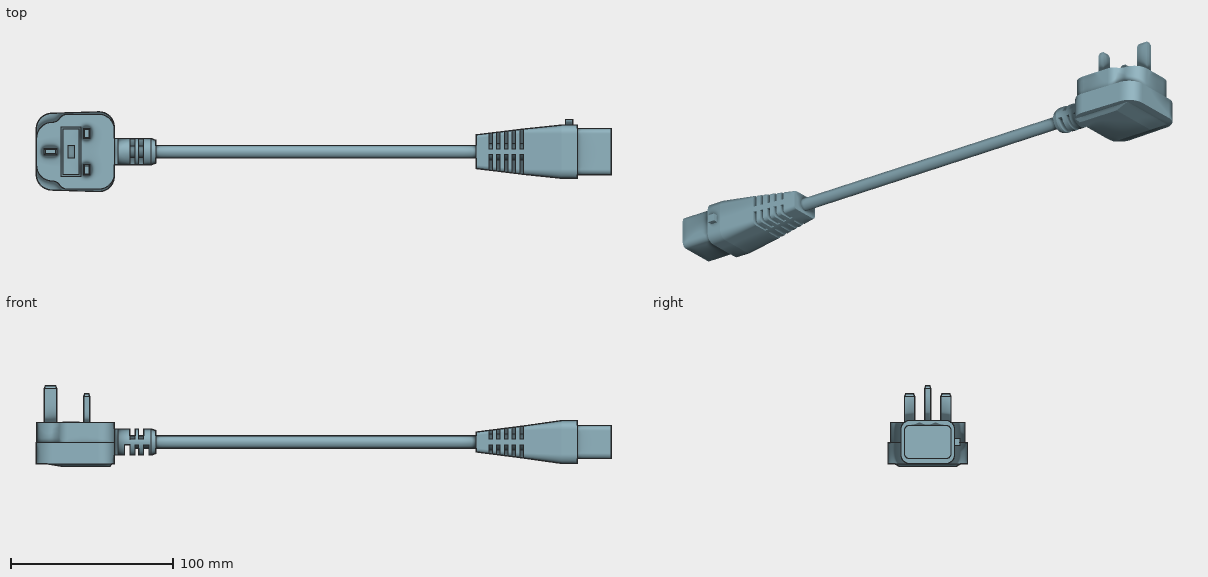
import cadquery as cq
import math


total_length = 354.8

plug_length = 48.2
plug_bottom = -13.5
plug_split = -0.5
plug_top = 12.0
lower_rear_half_width = 23.8
lower_width = 49.3
lower_half_width = lower_width / 2
lower_rear_radius = 10.0
upper_inset = 0.5
upper_half_width = 23.0
upper_nose_half_width = 18.0
upper_nose_radius = 9.5
shoulder_end = 19.0
front_corner_start = 38.5
front_corner_radius = plug_length - front_corner_start

pad_depth = 1.8
pad_start = 6.5
pad_end = 47.0
pad_half_width = 20.2
pad_rear_slope = 10.5
pad_front_slope = 1.5
pad_side_slope = 3.0

carrier_start = 15.3
carrier_end = 27.5
carrier_half_width = 15.3
carrier_groove = 1.25
carrier_groove_depth = 1.0
carrier_rise = 0.5
carrier_pocket_start = 19.5
carrier_pocket_length = 4.3
carrier_pocket_width = 7.8
carrier_pocket_depth = 1.8

earth_x = 9.0
earth_length = 7.8
earth_thickness = 4.0
earth_height = 22.7
line_x = 31.2
line_spacing = 22.5
line_thickness = 4.0
line_width = 6.5
line_height = 17.7
tip_height = 1.8
tip_inset = 0.7

cable_radius = 4.0
relief_radius = 8.0
relief_collar_length = 2.0
relief_end = 73.8
relief_taper_length = 3.0
relief_end_radius = 7.0
web_half = 1.8
slot_edges = [54.5, 58.0, 61.0, 63.0, 66.5, 69.5]
lower_slots = list(zip(slot_edges[0::2], slot_edges[1::2]))
upper_slots = list(zip(slot_edges[1::2], slot_edges[2::2]))
cable_start = slot_edges[1]

grip_start = 271.5
grip_end = 300.5
collar_start = 324.2
collar_end = 333.8
grip_small = (21.0, 12.5, 2.0)
grip_large = (28.0, 20.0, 3.0)
collar_section = (33.0, 26.5, 5.3)
nose_section = (28.7, 20.5, 3.2)
groove_count = 5
groove_width = 2.0
first_groove = 279.2
groove_pitch = (grip_end - groove_width - first_groove) / (groove_count - 1)
grip_core_radius = 5.3
button_start = 326.5
button_size = 4.5
button_tip = 20.0


def block(x0, x1, y0, y1, z0, z1):
    return cq.Workplane("XY").box(x1 - x0, y1 - y0, z1 - z0, centered=False).translate((x0, y0, z0))


def x_cylinder(x0, x1, radius):
    return cq.Workplane("YZ", origin=(x0, 0, 0)).circle(radius).extrude(x1 - x0)


def arc_middle(center_x, center_y, radius, angle):
    """Point on a circle at an angle in degrees, used as the middle of an arc."""
    turn = math.radians(angle)
    return center_x + radius * math.cos(turn), center_y + radius * math.sin(turn)


def front_corner(outline, half_width):
    """Round the cable-side corner and run down to the centre line."""
    corner_y = half_width - front_corner_radius
    middle = arc_middle(front_corner_start, corner_y, front_corner_radius, 45)
    return outline.threePointArc(middle, (plug_length, corner_y)).lineTo(plug_length, 0)


def both_sides(half_outline, height):
    half = half_outline.close().extrude(height)
    return half.union(half.mirror("XZ")).clean()


def lower_half():
    corner_y = lower_rear_half_width - lower_rear_radius
    middle = arc_middle(lower_rear_radius, corner_y, lower_rear_radius, 135)
    outline = (
        cq.Workplane("XY", origin=(0, 0, plug_bottom))
        .lineTo(0, corner_y)
        .threePointArc(middle, (lower_rear_radius, lower_rear_half_width))
        .lineTo(front_corner_start, lower_half_width)
    )
    return both_sides(front_corner(outline, lower_half_width), plug_split - plug_bottom)


def upper_half():
    nose_x = upper_inset + upper_nose_radius
    corner_y = upper_nose_half_width - upper_nose_radius
    middle = arc_middle(nose_x, corner_y, upper_nose_radius, 135)
    shoulder_middle = ((nose_x + shoulder_end) / 2, (upper_nose_half_width + upper_half_width) / 2)
    outline = (
        cq.Workplane("XY", origin=(0, 0, plug_split))
        .moveTo(upper_inset, 0)
        .lineTo(upper_inset, corner_y)
        .threePointArc(middle, (nose_x, upper_nose_half_width))
        .tangentArcPoint(shoulder_middle, relative=False)
        .tangentArcPoint((shoulder_end, upper_half_width), relative=False)
        .lineTo(front_corner_start, upper_half_width)
    )
    return both_sides(front_corner(outline, upper_half_width), plug_top - plug_split)


def bottom_pad():
    """Low pad with sloping sides, shaped by a side profile and an end profile."""
    pad_bottom = plug_bottom - pad_depth
    side = (
        cq.Workplane("XZ", origin=(0, pad_half_width, 0))
        .polyline([
            (pad_start, plug_bottom),
            (pad_start + pad_rear_slope, pad_bottom),
            (pad_end - pad_front_slope, pad_bottom),
            (pad_end, plug_bottom),
        ])
        .close()
        .extrude(2 * pad_half_width)
    )
    bottom_half_width = pad_half_width - pad_side_slope
    end = (
        cq.Workplane("YZ")
        .polyline([
            (-pad_half_width, plug_bottom),
            (-bottom_half_width, pad_bottom),
            (bottom_half_width, pad_bottom),
            (pad_half_width, plug_bottom),
        ])
        .close()
        .extrude(plug_length)
    )
    return side.intersect(end)


def add_fuse_carrier(housing):
    """Groove around the carrier, its slightly raised face and its central pocket."""
    floor = plug_top - carrier_groove_depth
    face = plug_top + carrier_rise
    recess = block(carrier_start, carrier_end, -carrier_half_width, carrier_half_width, floor, plug_top)
    inner_half_width = carrier_half_width - carrier_groove
    carrier = block(
        carrier_start + carrier_groove, carrier_end - carrier_groove,
        -inner_half_width, inner_half_width, floor, face,
    )
    pocket = block(
        carrier_pocket_start, carrier_pocket_start + carrier_pocket_length,
        -carrier_pocket_width / 2, carrier_pocket_width / 2, face - carrier_pocket_depth, face,
    )
    return housing.cut(recess).union(carrier).cut(pocket)


def strain_relief():
    """Square collar and slotted sleeve, with slots alternating above and below the webs."""
    collar = block(
        plug_length, plug_length + relief_collar_length,
        -relief_radius, relief_radius, -relief_radius, relief_radius,
    )
    taper_start = relief_end - relief_taper_length
    sleeve = x_cylinder(plug_length, taper_start, relief_radius)
    taper = (
        cq.Workplane("YZ", origin=(taper_start, 0, 0))
        .circle(relief_radius)
        .workplane(offset=relief_taper_length)
        .circle(relief_end_radius)
        .loft()
    )
    relief = sleeve.union(taper).union(collar)
    for start, end in upper_slots:
        relief = relief.cut(block(start, end, -relief_radius, relief_radius, web_half, relief_radius))
    for start, end in lower_slots:
        relief = relief.cut(block(start, end, -relief_radius, relief_radius, -relief_radius, -web_half))
    return relief


def make_housing():
    housing = lower_half().union(upper_half()).union(bottom_pad())
    housing = add_fuse_carrier(housing).union(strain_relief())
    return housing.cut(x_cylinder(cable_start, relief_end, cable_radius))


def make_pin(x, y, x_size, y_size, height):
    """Rectangular pin standing on the plug face, with a bevelled tip."""
    return (
        cq.Workplane("XY", origin=(x, y, plug_top))
        .rect(x_size, y_size)
        .extrude(height - tip_height)
        .faces(">Z")
        .workplane()
        .rect(x_size, y_size)
        .workplane(offset=tip_height)
        .rect(x_size - 2 * tip_inset, y_size - 2 * tip_inset)
        .loft()
    )


def make_cable():
    return x_cylinder(cable_start, grip_start, cable_radius)


def rounded_section(section):
    width, height, radius = section
    return cq.Sketch().rect(width, height).vertices().fillet(radius)


def tapered_block(x0, x1, first, last):
    return (
        cq.Workplane("YZ", origin=(x0, 0, 0))
        .placeSketch(
            rounded_section(first),
            rounded_section(last).moved(cq.Location(cq.Vector(0, 0, x1 - x0))),
        )
        .loft(ruled=True)
    )


def straight_block(x0, x1, section):
    return cq.Workplane("YZ", origin=(x0, 0, 0)).placeSketch(rounded_section(section)).extrude(x1 - x0)


def groove_cutter(start):
    """Ring around the grip that leaves a round core and a cross of webs."""
    end = start + groove_width
    reach = grip_large[0]
    return (
        block(start, end, -reach, reach, -reach, reach)
        .cut(block(start, end, -reach, reach, -web_half, web_half))
        .cut(block(start, end, -web_half, web_half, -reach, reach))
        .cut(x_cylinder(start, end, grip_core_radius))
    )


def make_connector():
    grip = tapered_block(grip_start, grip_end, grip_small, grip_large)
    for index in range(groove_count):
        grip = grip.cut(groove_cutter(first_groove + index * groove_pitch))
    shoulder = tapered_block(grip_end, collar_start, grip_large, collar_section)
    collar = straight_block(collar_start, collar_end, collar_section)
    nose = straight_block(collar_end, total_length, nose_section)
    button = block(
        button_start, button_start + button_size, 0, button_tip, -button_size / 2, button_size / 2
    )
    return grip.union(shoulder).union(collar).union(nose).union(button)


housing = make_housing()
earth_pin = make_pin(earth_x, 0, earth_length, earth_thickness, earth_height)
line_pins = [
    make_pin(line_x, side * line_spacing / 2, line_thickness, line_width, line_height)
    for side in (-1, 1)
]
cable = make_cable()
connector = make_connector()

result = cq.Compound.makeCompound([
    housing.val(),
    earth_pin.val(),
    *[pin.val() for pin in line_pins],
    cable.val(),
    connector.val(),
])